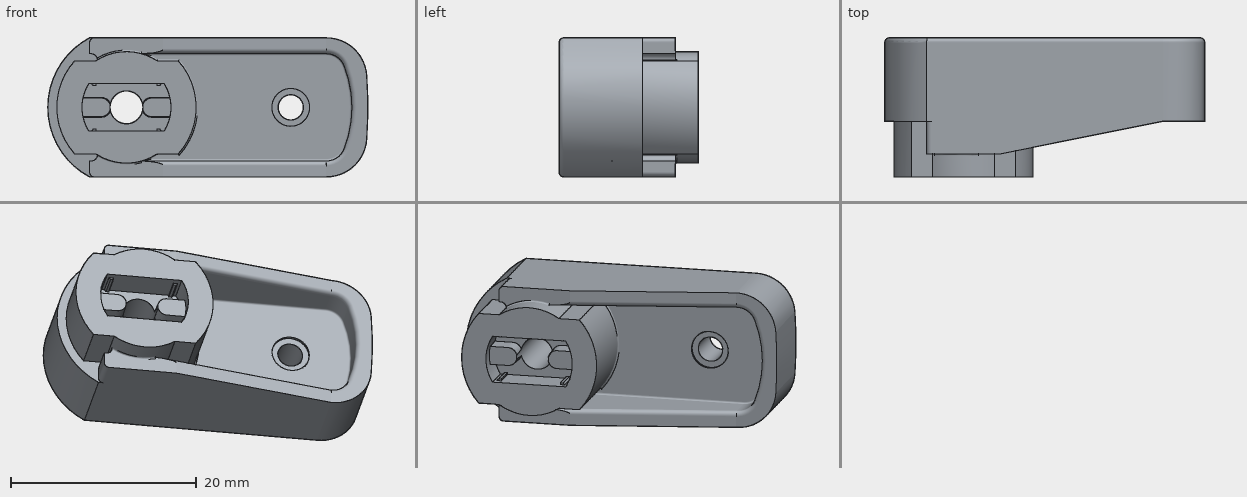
import cadquery as cq
import math

length = 34.47
height = 15.0
half_height = height / 2
depth = height
hub_end_radius = 8.48
tip_x = length - hub_end_radius
tip_radius = 49.98
shoulder_x = math.sqrt(hub_end_radius**2 - half_height**2)
corner_x = 21.5
edge_radius = 0.5

wall_front_y = 2.48
rim_y = 6.0
floor_y = 9.48

wall = 1.72
pocket_tip_x = tip_x - wall
pocket_tip_radius = 12.27
pocket_half_height = half_height - wall
floor_fillet_radius = 0.2
opening_x = -3.15
opening_corner_radius = 0.65

boss_radius = half_height
boss_flat_z = 5.0
bulge_radius = 6.0
foot_radius = 0.17

slot_radius = 4.8
slot_half_height = 2.55
slot_floor_y = 3.5
hub_hole_radius = 1.75
block_front_y = 1.5
block_half_height = 1.07
block_nose_x = 2.72
block_taper_degrees = 2.0

rib_inner_x = 3.27
rib_foot_width = 0.48
rib_crest_width = 0.3
rib_height = 0.2
rib_front_y = 0.75

screw_x = 17.7
screw_radius = 1.35
recess_radius = 2.05
recess_depth = 0.3

margin = 0.05


def section(y_back):
    """Sketch plane with local axes +X, +Z; extrusion runs toward -Y."""
    return cq.Workplane("XZ", origin=(0, y_back, 0))


def disc(radius, y_front, y_back, x=0):
    """Cylinder along Y at the given X, between two stations."""
    return section(y_back).center(x, 0).circle(radius).extrude(y_back - y_front)


def block(x_min, x_max, half_z, y_front, y_back):
    """Box centred on Z = 0 between two stations along Y."""
    return (
        section(y_back)
        .center((x_min + x_max) / 2, 0)
        .rect(x_max - x_min, 2 * half_z)
        .extrude(y_back - y_front)
    )


def close_tip(sketch, half_z, end_x, end_radius):
    """From the upper end of a straight side, round the tip and reach the lower side.

    The corner arc is tangent to both the side and the shallow arc across the tip.
    """
    run = end_x - corner_x
    corner_radius = (run**2 + half_z**2 - 2 * end_radius * run) / (2 * (half_z - end_radius))
    corner_z = half_z - corner_radius
    joint_angle = math.atan2(corner_z, corner_x - (end_x - end_radius))
    mid_angle = (joint_angle + math.pi / 2) / 2

    def corner_point(angle, side):
        return (
            corner_x + corner_radius * math.cos(angle),
            side * (corner_z + corner_radius * math.sin(angle)),
        )

    return (
        sketch.threePointArc(corner_point(mid_angle, 1), corner_point(joint_angle, 1))
        .threePointArc((end_x, 0), corner_point(joint_angle, -1))
        .threePointArc(corner_point(mid_angle, -1), (corner_x, -half_z))
    )


def make_shell():
    """Outer solid with its back edge rounded and the sloping rim running to the hub end."""
    sketch = section(depth).moveTo(-shoulder_x, half_height).lineTo(corner_x, half_height)
    sketch = close_tip(sketch, half_height, tip_x, tip_radius).lineTo(-shoulder_x, -half_height)
    sketch = sketch.threePointArc((-hub_end_radius, 0), (-shoulder_x, half_height)).close()
    shell = sketch.extrude(depth).faces(">Y").edges().fillet(edge_radius)

    slope = (rim_y - wall_front_y) / (corner_x - shoulder_x)
    sloping_rim = (
        cq.Workplane("XY")
        .moveTo(-length, rim_y - slope * (corner_x + length))
        .lineTo(corner_x, rim_y)
        .lineTo(length, rim_y)
        .lineTo(length, -length)
        .lineTo(-length, -length)
        .close()
        .extrude(half_height, both=True)
    )
    return shell.cut(sloping_rim)


def cut_pocket(shell):
    """Hollow the arm, round the floor edge and the rim."""
    sketch = section(floor_y).moveTo(0, pocket_half_height).lineTo(corner_x, pocket_half_height)
    sketch = close_tip(sketch, pocket_half_height, pocket_tip_x, pocket_tip_radius)
    pocket = sketch.lineTo(0, -pocket_half_height).close().extrude(floor_y)
    pocket = pocket.faces(">Y").edges("not <X").fillet(floor_fillet_radius)
    reach_z = pocket_half_height + margin
    rim = cq.selectors.BoxSelector(
        (shoulder_x, 0, -reach_z), (pocket_tip_x + margin, rim_y + margin, reach_z)
    )
    return shell.cut(pocket).edges(rim).fillet(edge_radius)


def trim_hub_end(shell):
    """Flatten the wall fronts and step the hub end back to the ledge."""
    shell = shell.cut(block(-length, length, half_height, -length, wall_front_y))
    walls = block(-shoulder_x, length, half_height, 0, rim_y)
    walls = walls.edges("|Y and <X").fillet(edge_radius)
    ledge = block(-length, 0, half_height, 0, rim_y).cut(walls)
    opening = block(-length, opening_x, pocket_half_height, 0, rim_y)
    opening = opening.edges("|Y and >X").fillet(opening_corner_radius)
    return shell.cut(ledge).cut(opening)


def flared(column, foot_y):
    """Column with a concave fillet spreading from its side onto the plane y = foot_y."""
    plate = block(-length, length, length, foot_y, depth)
    edge_zone = cq.selectors.BoxSelector(
        (-length / 2, foot_y - margin, -half_height), (length / 2, foot_y + margin, half_height)
    )
    return column.union(plate).edges(edge_zone).fillet(foot_radius).cut(plate)


def make_boss():
    """Round boss with two flats and bulges, footed on the pocket floor and the wall fronts."""
    web = block(-length, length, boss_flat_z, 0, floor_y)
    column = disc(boss_radius, 0, floor_y).intersect(web).union(disc(bulge_radius, 0, floor_y))
    boss = flared(column, floor_y)
    bulge_end_x = math.sqrt(bulge_radius**2 - pocket_half_height**2)
    on_walls = block(opening_x, bulge_end_x, half_height, 0, wall_front_y)
    foot = flared(disc(bulge_radius, 0, wall_front_y), wall_front_y).intersect(on_walls)
    return boss.union(foot)


def make_slot():
    """Cutter for the slot, shaped around the blocks and ribs left standing in it."""
    flats = block(-length, length, slot_half_height, 0, slot_floor_y)
    slot = disc(slot_radius, 0, slot_floor_y).intersect(flats)
    for side in (-1, 1):
        outer_x = side * boss_radius
        slot_block = (
            section(slot_floor_y)
            .moveTo(outer_x, block_half_height)
            .lineTo(side * block_nose_x, block_half_height)
            .threePointArc(
                (side * (block_nose_x - block_half_height), 0),
                (side * block_nose_x, -block_half_height),
            )
            .lineTo(outer_x, -block_half_height)
            .close()
            .extrude(slot_floor_y - block_front_y, taper=block_taper_degrees)
        )
        slot = slot.cut(slot_block)
        for wall_side in (-1, 1):
            foot_z = wall_side * slot_half_height
            crest_z = wall_side * (slot_half_height - rib_height)
            rib = (
                section(slot_floor_y)
                .moveTo(side * rib_inner_x, foot_z)
                .lineTo(side * rib_inner_x, crest_z)
                .lineTo(side * (rib_inner_x + rib_crest_width), crest_z)
                .lineTo(side * (rib_inner_x + rib_foot_width), foot_z)
                .close()
                .extrude(slot_floor_y - rib_front_y)
            )
            slot = slot.cut(rib)
    return slot


arm = trim_hub_end(cut_pocket(make_shell()))
body = arm.union(make_boss())
body = body.cut(make_slot())
body = body.cut(disc(hub_hole_radius, 0, depth))
body = body.cut(disc(screw_radius, 0, depth, screw_x))
result = body.cut(disc(recess_radius, 0, floor_y + recess_depth, screw_x))